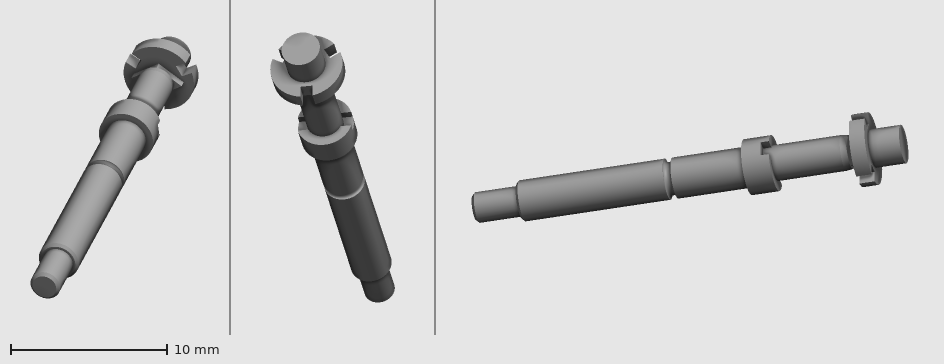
import cadquery as cq

OVERALL_LENGTH = 28.3

TAIL_RADIUS = 1.25
TAIL_LENGTH = 2.0

FLANGE_RADIUS = 2.35
FLANGE_THICKNESS = 1.02
NOTCH_COUNT = 3
NOTCH_WIDTH = 0.8
NOTCH_FLOOR_RADIUS = 1.55

KEY_HALF_WIDTH = 1.67
KEY_HALF_HEIGHT = 1.1
KEY_THICKNESS = 0.48

NECK_RADIUS = 1.1
NECK_LENGTH = 0.42
SHAFT_RADIUS = 1.15
SHAFT_LENGTH = 4.53

COLLAR_RADIUS = 1.8
COLLAR_LENGTH = 1.8
COLLAR_SLOT_WIDTH = 1.02
COLLAR_SLOT_DEPTH = 0.55

BARREL_RADIUS = 1.33
BARREL_CHAMFER = 0.17
GROOVE_RADIUS = 0.25
GROOVE_TO_COLLAR = 4.78

TIP_RADIUS = 1.0
TIP_LENGTH = 3.0
TIP_CHAMFER = 0.2

flange_start = TAIL_LENGTH
key_start = flange_start + FLANGE_THICKNESS
neck_start = key_start + KEY_THICKNESS
shaft_start = neck_start + NECK_LENGTH
collar_start = shaft_start + SHAFT_LENGTH
barrel_start = collar_start + COLLAR_LENGTH
groove_start = barrel_start + GROOVE_TO_COLLAR
tip_start = OVERALL_LENGTH - TIP_LENGTH
barrel_length = tip_start - barrel_start


def section_plane(distance):
    """XZ workplane at a distance from the tail face, extruding toward the tip."""
    return cq.Workplane("XZ", origin=(0, -distance, 0))


def cylinder(radius, start, length):
    return section_plane(start).circle(radius).extrude(length)


def make_flange():
    """Flange disc with evenly spaced rim notches, the first one facing -Z."""
    flange = cylinder(FLANGE_RADIUS, flange_start, FLANGE_THICKNESS)
    cutter_height = FLANGE_RADIUS
    notch = (
        section_plane(flange_start)
        .center(0, -NOTCH_FLOOR_RADIUS - cutter_height / 2)
        .rect(NOTCH_WIDTH, cutter_height)
        .extrude(FLANGE_THICKNESS)
    )
    for index in range(NOTCH_COUNT):
        angle = index * 360 / NOTCH_COUNT
        flange = flange.cut(notch.rotate((0, 0, 0), (0, 1, 0), angle))
    return flange


def make_key():
    corners = [
        (KEY_HALF_WIDTH, 0),
        (0, KEY_HALF_HEIGHT),
        (-KEY_HALF_WIDTH, 0),
        (0, -KEY_HALF_HEIGHT),
    ]
    return section_plane(key_start).polyline(corners).close().extrude(KEY_THICKNESS)


def make_neck():
    """Short cone widening from the key to the shaft."""
    return (
        section_plane(neck_start)
        .circle(NECK_RADIUS)
        .workplane(offset=NECK_LENGTH)
        .circle(SHAFT_RADIUS)
        .loft(ruled=True)
    )


def make_collar():
    """Collar with a slot across its tail-side face, open on both X sides."""
    collar = cylinder(COLLAR_RADIUS, collar_start, COLLAR_LENGTH)
    slot = (
        section_plane(collar_start)
        .rect(2 * COLLAR_RADIUS, COLLAR_SLOT_WIDTH)
        .extrude(COLLAR_SLOT_DEPTH)
    )
    return collar.cut(slot)


def make_barrel():
    """Barrel with a chamfered tip-side end and a half-round groove around it."""
    barrel = cylinder(BARREL_RADIUS, barrel_start, barrel_length)
    barrel = barrel.faces("<Y").chamfer(BARREL_CHAMFER)
    groove = (
        cq.Workplane("XY")
        .center(BARREL_RADIUS, -groove_start - GROOVE_RADIUS)
        .circle(GROOVE_RADIUS)
        .revolve(360, (-BARREL_RADIUS, 0, 0), (-BARREL_RADIUS, 1, 0))
    )
    return barrel.cut(groove)


tail = cylinder(TAIL_RADIUS, 0, TAIL_LENGTH)
shaft = cylinder(SHAFT_RADIUS, shaft_start, SHAFT_LENGTH + COLLAR_LENGTH)
tip = cylinder(TIP_RADIUS, tip_start, TIP_LENGTH).faces("<Y").chamfer(TIP_CHAMFER)

sections = [make_flange(), make_key(), make_neck(), shaft, make_collar(), make_barrel(), tip]
result = tail
for section in sections:
    result = result.union(section)